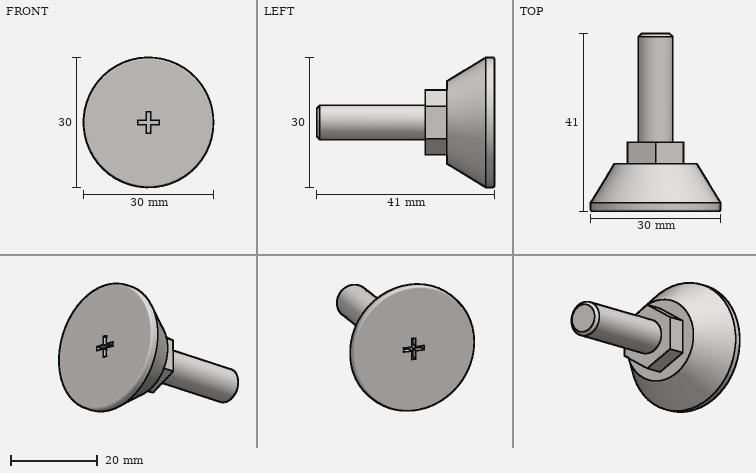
import cadquery as cq

total_length = 41.0

foot_diameter = 30.0
foot_top_diameter = 19.05
rim_height = 2.0
foot_height = 11.0
sole_edge = 0.5

hex_across_flats = 13.0
hex_height = 5.0

stud_diameter = 8.0
stud_tip_chamfer = 0.78

cross_length = 5.0
cross_width = 1.0
cross_depth = 2.0

hex_top = foot_height + hex_height


def plane_at(y):
    """Plane across the axis at height y, with its normal toward +Y."""
    return cq.Workplane("XZ", origin=(0, y, 0)).workplane(invert=True)


def make_foot():
    """Tapered foot with a short straight rim and a rounded sole edge."""
    foot_radius = foot_diameter / 2
    profile = (
        cq.Workplane("XY")
        .lineTo(foot_radius, 0)
        .lineTo(foot_radius, rim_height)
        .lineTo(foot_top_diameter / 2, foot_height)
        .lineTo(0, foot_height)
        .close()
    )
    foot = profile.revolve(360, (0, 0, 0), (0, 1, 0))
    return foot.faces("<Y").edges().fillet(sole_edge)


def make_hex():
    """Hexagon with corners toward +Z and -Z and flats toward +X and -X."""
    return (
        plane_at(foot_height)
        .polygon(6, hex_across_flats, circumscribed=True)
        .extrude(hex_height)
    )


def make_stud():
    """Plain stud with a chamfered tip."""
    stud = plane_at(hex_top).circle(stud_diameter / 2).extrude(total_length - hex_top)
    return stud.faces(">Y").edges().chamfer(stud_tip_chamfer)


def make_cross_recess():
    """Cross-shaped recess in the middle of the sole."""
    bars = plane_at(0).rect(cross_length, cross_width).extrude(cross_depth)
    return bars.union(plane_at(0).rect(cross_width, cross_length).extrude(cross_depth))


result = make_foot().union(make_hex()).union(make_stud()).cut(make_cross_recess())